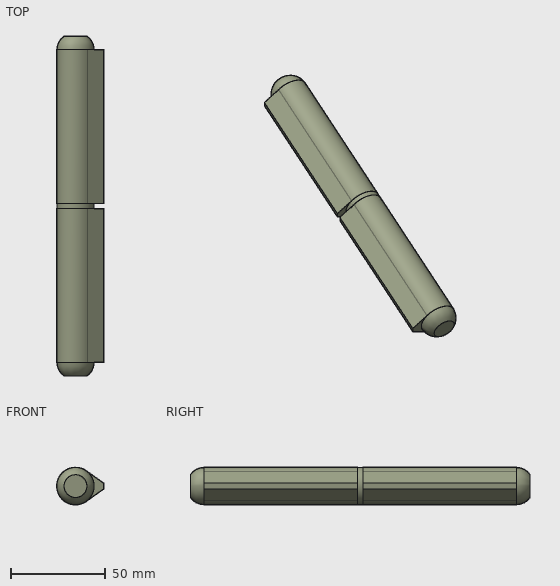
import cadquery as cq
import math

total_length = 180.0
barrel_diameter = 20.0
core_diameter = 19.8
cap_face_diameter = 12.0
cap_length = 7.2
gap_width = 2.7
overall_width = 25.0
tip_height = 3.0
wedge_root_x = 6.5

barrel_radius = barrel_diameter / 2
core_radius = core_diameter / 2
cap_face_radius = cap_face_diameter / 2
tip_x = overall_width - barrel_radius
wedge_root_z = math.sqrt(barrel_radius**2 - wedge_root_x**2)
half_length = total_length / 2
shoulder_y = half_length - cap_length
leaf_length = shoulder_y - gap_width / 2


def make_leaf(start_y):
    """Teardrop bar running from start_y towards +Y."""
    return (
        cq.Workplane("XZ", origin=(0, start_y, 0))
        .moveTo(wedge_root_x, wedge_root_z)
        .threePointArc((-barrel_radius, 0), (wedge_root_x, -wedge_root_z))
        .lineTo(tip_x, -tip_height / 2)
        .lineTo(tip_x, tip_height / 2)
        .close()
        .extrude(-leaf_length)
    )


def make_core():
    """Round core whose ends curve in, tangent to its side, to flat faces."""
    inset = core_radius - cap_face_radius
    cap_arc_radius = (inset**2 + cap_length**2) / (2 * inset)
    half_sweep = math.asin(cap_length / cap_arc_radius) / 2
    mid_radius = core_radius - cap_arc_radius * (1 - math.cos(half_sweep))
    mid_y = shoulder_y + cap_arc_radius * math.sin(half_sweep)
    return (
        cq.Workplane("XY")
        .moveTo(0, -half_length)
        .lineTo(cap_face_radius, -half_length)
        .threePointArc((mid_radius, -mid_y), (core_radius, -shoulder_y))
        .lineTo(core_radius, shoulder_y)
        .threePointArc((mid_radius, mid_y), (cap_face_radius, half_length))
        .lineTo(0, half_length)
        .close()
        .revolve(360, (0, 0, 0), (0, 1, 0))
    )


result = make_core()
for leaf_start_y in (-shoulder_y, gap_width / 2):
    result = result.union(make_leaf(leaf_start_y))